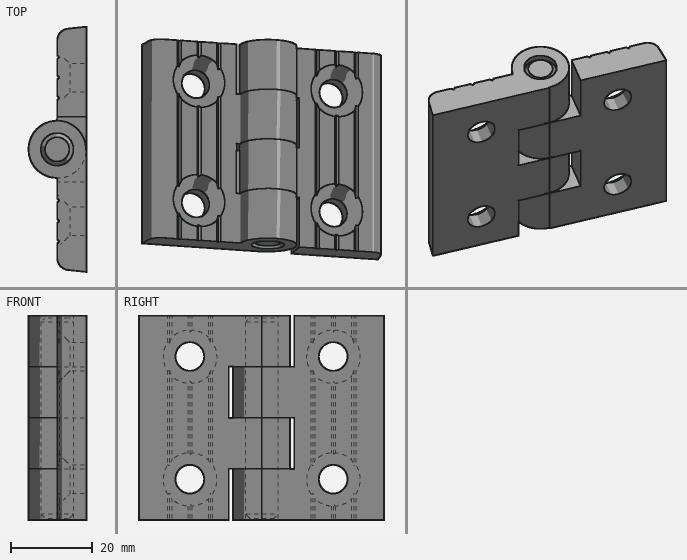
import cadquery as cq
import math


hinge_span = 60.0
hinge_height = 50.0
hinge_depth = 14.2

knuckle_radius = 7.0
knuckle_count = 4
knuckle_height = hinge_height / knuckle_count
root_fillet = 0.35

plate_thickness = hinge_depth - knuckle_radius
plate_gap_edge = 8.0
end_draft = 6.0
end_fillet = 3.0
tip_y = -hinge_span / 2
front_corner_y = tip_y + plate_thickness * math.tan(math.radians(end_draft))

row_y = -17.5
groove_pitch = 5.0
groove_width = 1.0
groove_depth = groove_width / 2
screw_spacing = 30.0
screw_hole_diameter = 6.95
countersink_diameter = 13.1
countersink_angle = 90.0

pin_diameter = 8.0
pin_chamfer = 1.0
pin_recess = 0.5
pin_length = hinge_height - 2 * pin_recess


def make_plate():
    """Flat part of a leaf, with a drafted and rounded outer end."""
    plate = (
        cq.Workplane("XY", origin=(0, 0, -hinge_height / 2))
        .moveTo(0, -plate_gap_edge)
        .lineTo(plate_thickness, -plate_gap_edge)
        .lineTo(plate_thickness, tip_y)
        .lineTo(0, front_corner_y)
        .close()
        .extrude(hinge_height)
    )
    return plate.edges(cq.selectors.NearestToPointSelector((0, front_corner_y, 0))).fillet(end_fillet)


def make_knuckle(bottom_z):
    """One barrel segment with the web that joins it to the plate.

    The web is as thick as the plate, so it stands slightly proud of the barrel at the back.
    """
    fillet_y = -math.sqrt((knuckle_radius + root_fillet) ** 2 - root_fillet ** 2)
    touch_ratio = knuckle_radius / (knuckle_radius + root_fillet)
    barrel_touch = (-root_fillet * touch_ratio, fillet_y * touch_ratio)
    half_turn = math.atan2(-fillet_y, root_fillet) / 2
    fillet_middle = (
        -root_fillet + root_fillet * math.cos(half_turn),
        fillet_y + root_fillet * math.sin(half_turn),
    )
    barrel_middle_offset = knuckle_radius * math.sqrt(0.5)
    return (
        cq.Workplane("XY", origin=(0, 0, bottom_z))
        .moveTo(plate_thickness, 0)
        .lineTo(knuckle_radius, 0)
        .threePointArc((-barrel_middle_offset, barrel_middle_offset), barrel_touch)
        .threePointArc(fillet_middle, (0, fillet_y))
        .lineTo(0, -plate_gap_edge)
        .lineTo(plate_thickness, -plate_gap_edge)
        .close()
        .extrude(knuckle_height)
    )


def cut_pin_bore(leaf):
    bore = cq.Workplane("XY").circle(pin_diameter / 2).extrude(hinge_height / 2, both=True)
    return leaf.cut(bore)


def cut_grooves(leaf):
    """Three V grooves along the full height of the front face."""
    for step in (-1, 0, 1):
        groove_y = row_y + step * groove_pitch
        groove = (
            cq.Workplane("XY")
            .moveTo(0, groove_y - groove_width / 2)
            .lineTo(groove_depth, groove_y)
            .lineTo(0, groove_y + groove_width / 2)
            .close()
            .extrude(hinge_height / 2, both=True)
        )
        leaf = leaf.cut(groove)
    return leaf


def cut_screw_holes(leaf):
    """Two through holes, countersunk from the front face."""
    sink_depth = (
        (countersink_diameter - screw_hole_diameter) / 2 / math.tan(math.radians(countersink_angle / 2))
    )
    for screw_z in (-screw_spacing / 2, screw_spacing / 2):
        centre = cq.Vector(0, row_y, screw_z)
        inward = cq.Vector(1, 0, 0)
        hole = cq.Solid.makeCylinder(screw_hole_diameter / 2, plate_thickness, centre, inward)
        sink = cq.Solid.makeCone(
            countersink_diameter / 2, screw_hole_diameter / 2, sink_depth, centre, inward
        )
        leaf = leaf.cut(cq.Workplane(hole)).cut(cq.Workplane(sink))
    return leaf


def make_leaf():
    """Leaf on the -Y side, carrying the second and the top knuckle."""
    leaf = make_plate()
    for level in range(1, knuckle_count, 2):
        leaf = leaf.union(make_knuckle(-hinge_height / 2 + level * knuckle_height))
    leaf = cut_pin_bore(leaf)
    leaf = cut_grooves(leaf)
    return cut_screw_holes(leaf)


def make_pin():
    """Plain pin with both ends chamfered."""
    return (
        cq.Workplane("XY", origin=(0, 0, -pin_length / 2))
        .circle(pin_diameter / 2)
        .extrude(pin_length)
        .edges()
        .chamfer(pin_chamfer)
    )


leaves = []
for turn in (0, 180):
    leaf = make_leaf().rotate((0, 0, 0), (1, 0, 0), turn)
    leaves.append(leaf.solids().val())

pin = make_pin()

result = cq.Compound.makeCompound([*leaves, pin.solids().val()])